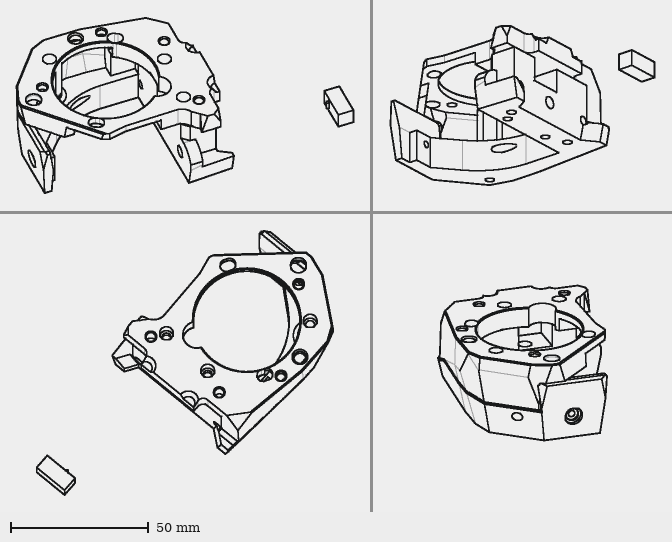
import cadquery as cq
import math


height = 30.8
plate_under = 23.2
thin_under = 27.9
seam_z = 12.0
seam_end_z = 7.9
slope_start_y = 24.0
slope_end_y = 34.2
wall_front_y = 19.3
wall_rear_y = 32.2
tail_rear_y = 36.75
shell_right_x = 31.35
inner_left_x = -15.2
reach = 40.0
big = 200.0

ring_radius = 19.35
notch_center = (10.3, 16.0)
notch_radius = 5.0
deep_ring_y = 11.7

skin = 2.8
rim_chamfer = 0.4
groove_depth = 0.45
groove_height = 0.8

cross_z = 8.4
side_hole_x = -13.2
tab_hole_x = 6.4
ear_hole_x = 23.8

tab_foot = (-4.3, 16.7)
tab_head = (-7.2, 19.4)
tab_shoulder_z = 22.2
tab_corner = 0.9
tab_top = plate_under - 0.1
tab_clearance = 0.1
tab_outline = [
    (tab_foot[0], 0),
    (tab_foot[1], 0),
    (tab_head[1], tab_shoulder_z),
    (tab_head[1] - tab_corner, tab_top),
    (tab_head[0] + tab_corner, tab_top),
    (tab_head[0], tab_shoulder_z),
]
tab_front_foot_y = -31.0
tab_front_head_y = -32.9


def along_x(lower_edge, upper_edge):
    """Three points of a plane that runs along X through two (Y, Z) edges."""
    return [(0, *lower_edge), (1, *lower_edge), (0, *upper_edge)]


tab_front = along_x((tab_front_foot_y, 0), (tab_front_head_y, tab_shoulder_z))

rear_top = (-22.9, wall_rear_y, height)
waist_top = (-27.8, 1.6, height)
waist_rear = (-28.15, 1.6, 20.0)
waist_front = (-28.15, -4.6, 20.0)
cheek_top = (-27.75, -13.2, 29.2)
foot_rear = (-23.5, 3.0, 0.0)
foot_mid = (-23.5, -8.6, 0.0)
foot_front = (-21.2, -17.6, 0.0)
seam_turn = (-24.7, slope_start_y, seam_z)
brow_left_top = (-25.2, -18.5, height)
brow_left = (-25.45, -18.6, 25.7)
brow_right_top = (-9.8, -31.0, height)
brow_right = (-10.7, -30.6, 25.7)
nose_left_top = (-2.4, -33.63, height)
nose_right_top = (0.3, -33.63, height)
nose_bottom = (2.7, -32.7, plate_under)
right_corner_top = (24.8, -11.5, height)

brow_side = (brow_right_top, nose_left_top, brow_right)
nose_front = (nose_left_top, nose_right_top, nose_bottom)
facets = [
    (rear_top, waist_top, waist_rear),
    (waist_top, waist_rear, waist_front),
    (waist_rear, waist_front, foot_mid),
    (waist_rear, foot_rear, seam_turn),
    (foot_mid, foot_front, waist_front),
    (cheek_top, brow_left_top, brow_left),
    (brow_left_top, brow_right_top, brow_right),
    (brow_left, brow_right, foot_front),
    brow_side,
    nose_front,
    (nose_right_top, right_corner_top, nose_bottom),
]
body_middle = cq.Vector(0, 0, 15)


def outward_normal(points, middle):
    a, b, c = [cq.Vector(*p) for p in points]
    normal = (b - a).cross(c - a).normalized()
    if normal.dot(a - middle) < 0:
        normal = normal * -1
    return normal


def half_space(origin, normal):
    """Everything beyond a plane, on the side the normal points to."""
    solid = cq.Workplane(cq.Plane(origin=origin, normal=normal))
    return solid.rect(2 * big, 2 * big).extrude(big)


def outside_of(points, inset=0.0, middle=body_middle):
    """Everything beyond the plane through three points, moved towards `middle` by `inset`."""
    normal = outward_normal(points, middle)
    return half_space(cq.Vector(*points[0]) - normal * inset, normal)


def box(x, y, z):
    """Box from three (low, high) ranges."""
    size = [high - low for low, high in (x, y, z)]
    return cq.Workplane().box(*size, centered=False).translate((x[0], y[0], z[0]))


def prism(points, low, high):
    """Polygon in XY, from level `low` to level `high`."""
    return cq.Workplane().workplane(offset=low).polyline(points).close().extrude(high - low)


def prism_along_y(points, front, rear):
    """Polygon in XZ, from `front` to `rear`."""
    plane = cq.Plane(origin=(0, front, 0), xDir=(1, 0, 0), normal=(0, -1, 0))
    return cq.Workplane(plane).polyline(points).close().extrude(front - rear)


def prism_along_x(points, left, right):
    """Polygon in YZ, from `left` to `right`."""
    return cq.Workplane("YZ").workplane(offset=left).polyline(points).close().extrude(right - left)


def upright(x, y, diameter, low, high):
    return cq.Workplane().workplane(offset=low).center(x, y).circle(diameter / 2).extrude(high - low)


def cross_hole(x, diameter, front, rear):
    plane = cq.Plane(origin=(x, front, cross_z), xDir=(1, 0, 0), normal=(0, 1, 0))
    return cq.Workplane(plane).circle(diameter / 2).extrude(rear - front)


def cone(x, y, low, low_radius, high, high_radius):
    solid = cq.Solid.makeCone(low_radius, high_radius, high - low, cq.Vector(x, y, low))
    return cq.Workplane(solid)


def faceted_block(faces, inset=0.0):
    """Block bounded by the given facets on the left and at the front; plain elsewhere."""
    block = box((-reach, reach), (-reach, reach), (0, height))
    for face in faces:
        block = block.cut(outside_of(face, inset))
    return block


def beyond_rim(points):
    """Everything beyond the bevel between a facet and the top face."""
    bevel = (outward_normal(points, body_middle) + cq.Vector(0, 0, 1)).normalized()
    corner = cq.Vector(*max(points, key=lambda point: point[2]))
    return half_space(corner - bevel * (rim_chamfer * math.sqrt(0.5)), bevel)


def above_seam(offset=0.0):
    """Everything above the seam, which is level at the front and drops towards the rear."""
    profile = [
        (-big, seam_z + offset),
        (slope_start_y, seam_z + offset),
        (slope_end_y, seam_end_z + offset),
        (big, seam_end_z + offset),
        (big, big),
        (-big, big),
    ]
    return prism_along_x(profile, -big, big)


upper_envelope = faceted_block(facets)
lower_facets = [face for face in facets if face not in (brow_side, nose_front)]
lower_envelope = faceted_block(lower_facets + [tab_front])
seam_band = above_seam(-groove_height / 2).cut(above_seam(groove_height / 2))
groove_right_x = -4.6
seam_groove = seam_band.cut(faceted_block(facets, groove_depth)).intersect(
    box((-reach, groove_right_x), (-reach, reach), (0, height))
)

tongue_x = (-6.2, 18.95)
tongue_rear_y = 37.0
tongue_fillet = 2.5
neck_start = (24.1, 18.3)
neck_middle = (24.9, 20.6)
neck_end = (27.0, 22.4)
lug_edge = (29.4, 25.0)
lug_foot_y = 24.7
rail_front = (24.8, -11.9)
rail_bulge = (25.9, -9.3)
rail_waist = (24.5, -2.4)


def plate_outline(low, high):
    left, right = tongue_x
    fillet_y = wall_rear_y + tongue_fillet
    bend = tongue_fillet * (1 - math.sqrt(0.5))
    return (
        cq.Workplane()
        .workplane(offset=low)
        .moveTo(-reach, -reach)
        .lineTo(rail_front[0], -reach)
        .lineTo(*rail_front)
        .lineTo(*rail_bulge)
        .lineTo(*rail_waist)
        .lineTo(*neck_start)
        .threePointArc(neck_middle, neck_end)
        .lineTo(*lug_edge)
        .lineTo(shell_right_x, lug_foot_y)
        .lineTo(shell_right_x, wall_rear_y)
        .lineTo(right + tongue_fillet, wall_rear_y)
        .threePointArc((right + bend, wall_rear_y + bend), (right, fillet_y))
        .lineTo(right, tongue_rear_y)
        .lineTo(left, tongue_rear_y)
        .lineTo(left, fillet_y)
        .threePointArc((left - bend, wall_rear_y + bend), (left - tongue_fillet, wall_rear_y))
        .lineTo(-reach, wall_rear_y)
        .close()
        .extrude(high - low)
    )


plate = plate_outline(plate_under, height).intersect(upper_envelope)
for facet in facets:
    if max(z for x, y, z in facet) == height:
        plate = plate.cut(beyond_rim(facet))

skirt = upper_envelope.intersect(above_seam()).intersect(
    box((-reach, reach), (-reach, wall_rear_y), (0, plate_under))
)
skirt = skirt.cut(box((inner_left_x, reach), (wall_front_y, reach), (0, height)))
tab_room = [
    (tab_foot[0] - tab_clearance, 0),
    (reach, 0),
    (reach, plate_under),
    (tab_head[0] + tab_corner - tab_clearance, plate_under),
    (tab_head[0] - tab_clearance, tab_shoulder_z),
]
skirt = skirt.cut(prism_along_y(tab_room, -reach, wall_front_y))
upper = plate.union(skirt)

hollow_corner = (-18.3, 9.7)
inner_envelope = faceted_block(facets, skin)
hollow_space = (
    box((-reach, reach), (-reach, hollow_corner[1]), (0, thin_under))
    .union(box((hollow_corner[0], reach), (-reach, wall_front_y), (0, plate_under)))
    .union(box((inner_left_x, reach), (-reach, deep_ring_y), (0, thin_under)))
)
hollow = inner_envelope.intersect(hollow_space)
upper = upper.cut(hollow)

post_x, post_y = -17.7, -14.7
post_diameter = 9.0
seat_diameter = 12.2
seat_height = 1.0
post = upright(post_x, post_y, post_diameter, seam_z + seat_height, thin_under)
upper = upper.union(post.intersect(upper_envelope))

side_opening_x = 14.3
upper = upper.cut(box((side_opening_x, reach), (-reach, deep_ring_y), (0, thin_under)))

left_corner = [(-17.8, wall_rear_y, height), (-23.1, 26.2, height), (-23.2, wall_rear_y, 23.1)]
right_corner = [
    (29.2, wall_rear_y, height),
    (shell_right_x, 29.6, height),
    (shell_right_x, wall_rear_y, 26.0),
]
lug_corner = [
    (*lug_edge, height),
    (shell_right_x, 27.1, height),
    (shell_right_x, lug_foot_y, plate_under),
]
left_rear_zone = box((-reach, inner_left_x), (ring_radius, reach), (0, height))
right_rear_zone = box((neck_end[0], reach), (neck_end[1], reach), (0, height))
lug_zone = box((lug_edge[0], reach), (neck_end[1], right_corner[1][1]), (0, height))
for corner, zone in (
    (left_corner, left_rear_zone),
    (right_corner, right_rear_zone),
    (lug_corner, lug_zone),
):
    upper = upper.cut(outside_of(corner).intersect(zone))
upper = upper.cut(seam_groove)

opening = upright(0, 0, 2 * ring_radius, 0, height)
opening = opening.union(upright(*notch_center, 2 * notch_radius, 0, height))
upper = upper.cut(opening)
upper = upper.cut(cone(0, 0, height - rim_chamfer, ring_radius, height, ring_radius + rim_chamfer))

scallop_x = (-3.6, 16.8)
scallop_floor = 28.0
scallop_floor_radius = 2.4
scallop_mouth_radius = 3.7
for x in scallop_x:
    upper = upper.cut(
        cone(x, tongue_rear_y, scallop_floor, scallop_floor_radius, height, scallop_mouth_radius)
    )

mouth_depth = 0.6
pilot_x, pilot_y = -0.8, -28.0
through_holes = [
    (-10.1, 27.3, 3.4, 4.2),
    (22.5, 27.3, 3.4, 4.2),
]
thin_plate_holes = [
    (-23.1, 8.0, 3.4, 4.2),
    (-5.5, -22.6, 3.4, 4.2),
    (-23.7, -1.9, 4.5, 5.7),
    (pilot_x, pilot_y, 5.6, 5.8),
]
for holes, bottom in ((through_holes, 0), (thin_plate_holes, thin_under)):
    for x, y, diameter, mouth in holes:
        upper = upper.cut(upright(x, y, diameter, bottom, height))
        upper = upper.cut(cone(x, y, height - mouth_depth, diameter / 2, height, mouth / 2))

screw_places = [(-1.6, 23.8), (19.0, 22.7), (post_x, post_y)]
screw_diameter = 3.2
screw_head_diameter = 5.0
screw_head_depth = 5.0
for x, y in screw_places:
    upper = upper.cut(upright(x, y, screw_diameter, 0, height))
    upper = upper.cut(upright(x, y, screw_head_diameter, height - screw_head_depth, height))

slot_length = 5.8
slot_width = 4.5
slot_angle = 60
slots = [(-18.4, 11.5), (18.8, -11.5)]
for x, y in slots:
    slot_plane = cq.Workplane(origin=(x, y, plate_under)).transformed(rotate=(0, 0, slot_angle))
    slot = slot_plane.slot2D(slot_length, slot_width).extrude(height)
    upper = upper.cut(slot)

below_seam = box((-reach, reach), (-reach, tail_rear_y), (0, height)).cut(above_seam())

band_inner_start = (inner_left_x, 4.0)
band_inner_mid = (-11.6, -9.1)
band_inner_end = (-4.9, -17.4)
rib_x = (4.0, 12.0)
rib_y = -25.0
tab_rear_y = -28.2
band_plan = (
    cq.Workplane()
    .moveTo(inner_left_x, tail_rear_y)
    .lineTo(*band_inner_start)
    .threePointArc(band_inner_mid, band_inner_end)
    .lineTo(rib_x[0], rib_y)
    .lineTo(rib_x[0], tab_rear_y - 1)
    .lineTo(tab_foot[0], tab_rear_y - 1)
    .lineTo(tab_foot[0], -reach)
    .lineTo(-reach, -reach)
    .lineTo(-reach, tail_rear_y)
    .close()
    .extrude(height)
)
band = lower_envelope.intersect(band_plan).intersect(below_seam)
rib = box(rib_x, (tab_rear_y, rib_y), (0, seam_z))

wall_right_x = 27.0
wall_bend_x = 24.4
wall_setback = 2.6
wall = prism(
    [
        (inner_left_x, wall_front_y),
        (wall_bend_x, wall_front_y),
        (wall_right_x, wall_front_y + wall_setback),
        (wall_right_x, wall_rear_y),
        (inner_left_x, wall_rear_y),
    ],
    0,
    plate_under,
)

ear_right_x = 33.95
ear_shoulder_z = 10.9
ear_top_z = 16.0
ear_round_middle = (31.1, 14.6)
ear = (
    cq.Workplane(cq.Plane(origin=(0, slope_start_y, 0), xDir=(1, 0, 0), normal=(0, -1, 0)))
    .moveTo(inner_left_x, 0)
    .lineTo(ear_right_x, 0)
    .lineTo(ear_right_x, ear_shoulder_z)
    .threePointArc(ear_round_middle, (wall_right_x, ear_top_z))
    .lineTo(inner_left_x, ear_top_z)
    .close()
    .extrude(slope_start_y - wall_front_y)
)

rear_block = box((inner_left_x, reach), (slope_start_y, tail_rear_y), (0, seam_end_z))
lower = band.union(rib).union(wall).union(ear).union(rear_block)
tail_bevel_z = 4.0
left_tail_side = [(-17.2, tail_rear_y, 0), (-11.5, wall_rear_y, 0), (-19.1, tail_rear_y, seam_end_z)]
right_tail_x = 27.1
right_tail_root_x = 24.2
right_tail_side = [
    (right_tail_x, tail_rear_y, 0),
    (right_tail_root_x, wall_rear_y, 0),
    (right_tail_x, tail_rear_y, tail_bevel_z),
]
right_tail_bevel = [
    (right_tail_x, tail_rear_y, tail_bevel_z),
    (right_tail_root_x, wall_rear_y, tail_bevel_z),
    (31.2, tail_rear_y, seam_end_z),
]
gap_middle = cq.Vector(5, tail_rear_y, 4)
for right_tail_face in (right_tail_side, right_tail_bevel):
    tail_gap = box((-reach, reach), (wall_rear_y, reach), (0, height))
    for face in (left_tail_side, right_tail_face):
        tail_gap = tail_gap.cut(outside_of(face, middle=gap_middle))
    lower = lower.cut(tail_gap)
right_face = [(34.0, wall_front_y, 8.5), (32.2, wall_front_y, 0), (32.95, tail_rear_y, seam_end_z)]
lower = lower.cut(outside_of(right_face))
lower = lower.cut(seam_groove)

seat = cone(post_x, post_y, seam_z, seat_diameter / 2, seam_z + seat_height, post_diameter / 2)
lower = lower.union(seat.intersect(inner_envelope).intersect(band_plan))

pilot_diameter = 4.2
pilot_depth = 5.0
lower = lower.cut(upright(pilot_x, pilot_y, pilot_diameter, seam_z - pilot_depth, height))

tab = prism_along_y(tab_outline, -reach, tab_rear_y)
tab_rear_head_y = -30.0
tab_edge_y = -31.7
tab_side_y = -31.0
tab_bevel_z = 16.3
tab_bevel_y = -32.4
tab_bevel_width = (3.0, 2.7)
tab_bevel_foot_x = (-5.4, 17.9)
tab_rear = along_x((tab_rear_y, seam_z), (tab_rear_head_y, tab_top))
tab_top_bevel = along_x((tab_front_head_y, tab_shoulder_z), (tab_edge_y, tab_top))
left_bevel, right_bevel = [
    [
        (head_x + inward, tab_front_head_y, tab_shoulder_z),
        (foot_x, tab_bevel_y, tab_bevel_z),
        (head_x, tab_side_y, tab_shoulder_z),
    ]
    for head_x, inward, foot_x in (
        (tab_head[0], tab_bevel_width[0], tab_bevel_foot_x[0]),
        (tab_head[1], -tab_bevel_width[1], tab_bevel_foot_x[1]),
    )
]
tab_middle = cq.Vector(tab_hole_x, -30, 8)
for face in (tab_front, tab_rear, tab_top_bevel, left_bevel, right_bevel):
    tab = tab.cut(outside_of(face, middle=tab_middle))
lower = lower.union(tab)

window_x = (2.3, 15.3)
window_floor = 14.0
lower = lower.cut(box(window_x, (0, reach), (window_floor, height)))

well_y = 24.3
well_diameter = 5.0
lower = lower.cut(upright(tab_hole_x, well_y, well_diameter, cross_z, height))

side_hole = 3.2
ear_hole = 4.5
tab_hole = 2.4
tab_mouth = 6.53
tab_step = 4.7
tab_mouth_depth = 1.0
tab_step_depth = 1.8
lower = lower.cut(cross_hole(side_hole_x, side_hole, -reach, reach))
lower = lower.cut(cross_hole(ear_hole_x, ear_hole, 0, reach))
lower = lower.cut(cross_hole(tab_hole_x, tab_hole, -reach, reach))
lower = lower.cut(cross_hole(tab_hole_x, ear_hole, 0, reach))
lower = lower.cut(cross_hole(tab_hole_x, tab_mouth, -reach, tab_front_foot_y + tab_mouth_depth))
lower = lower.cut(cross_hole(tab_hole_x, tab_step, -reach, tab_front_foot_y + tab_step_depth))

for x, y, diameter, mouth in through_holes:
    lower = lower.cut(upright(x, y, diameter, 0, height))
for x, y in screw_places:
    lower = lower.cut(upright(x, y, screw_diameter, 0, height))

block_x = (13.4, 26.7)
block_y = (80.4, 86.4)
block_height = 6.2
key_x = 17.7
key_width = 1.0
key_z = (1.7, 4.5)
block = box(block_x, block_y, (0, block_height))
nose_y = block_y[0] - key_width / 2
key = box((key_x - key_width / 2, key_x + key_width / 2), (nose_y, block_y[0]), key_z)
key = key.union(upright(key_x, nose_y, key_width, *key_z))
block = block.union(key)

result = cq.Compound.makeCompound(
    [*upper.solids().vals(), *lower.solids().vals(), *block.solids().vals()]
)